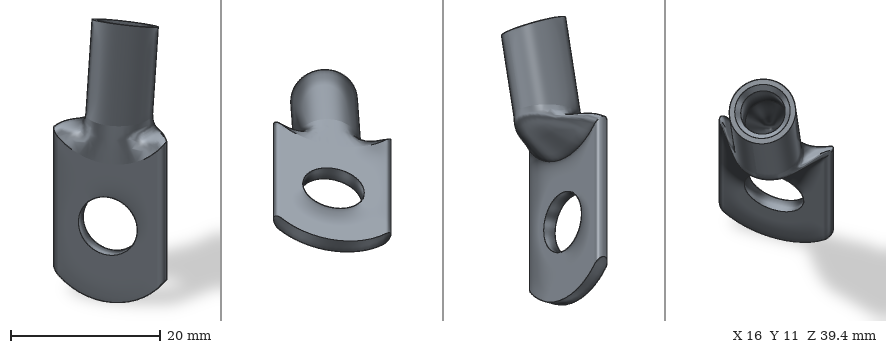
import cadquery as cq
import math

palm_width = 16.0
palm_thickness = 1.93
end_radius = 10.0
palm_top = 20.0
hole_diameter = 8.4
hole_height = 11.0

total_height = 39.35
total_depth = 11.0
barrel_diameter = 8.97
barrel_base = 25.58
mouth_tilt = 20.0

bore_diameter = 6.0
mouth_bore_diameter = 7.48
lead_in_depth = 0.6
bore_depth = 5.5
bore_tip_depth = 3.55

shoulder_drop = 2.5
palm_rise = 2.3
palm_spread = 0.65
level_count = 10
half_outline_steps = 40

sewing_tolerance = 0.001
joining_tolerance = 0.01

half_width = palm_width / 2
edge_radius = palm_thickness / 2
barrel_radius = barrel_diameter / 2
upper_arc_height = palm_top + end_radius

tilt = math.radians(mouth_tilt)
mouth_axis = cq.Vector(0, math.sin(tilt), math.cos(tilt))
mouth_centre = cq.Vector(
    0,
    total_depth - barrel_radius * math.cos(tilt),
    total_height - barrel_radius * math.sin(tilt),
)


def through_palm(diameter, height):
    """Cylinder across the palm's thickness, on its centre line."""
    front = cq.Workplane("XZ", origin=(0, palm_thickness, height))
    return front.circle(diameter / 2).extrude(palm_thickness)


def make_palm():
    bar = (
        cq.Workplane("XY", origin=(0, edge_radius, 0))
        .slot2D(palm_width, palm_thickness)
        .extrude(upper_arc_height)
    )
    above_lower_end = bar.cut(
        cq.Workplane("XY").box(palm_width, 2 * palm_thickness, 2 * end_radius)
    )
    lower_end = bar.intersect(through_palm(2 * end_radius, end_radius))
    return (
        above_lower_end.union(lower_end)
        .cut(through_palm(2 * end_radius, upper_arc_height))
        .cut(through_palm(hole_diameter, hole_height))
    )


def palm_end_point(angle):
    """Point on the rim of the palm's concave upper end."""
    x = half_width * math.cos(angle)
    into_round = max(0.0, abs(x) - (half_width - edge_radius))
    half_thickness = math.sqrt(max(0.0, edge_radius**2 - into_round**2))
    y = edge_radius + math.copysign(half_thickness, math.sin(angle))
    z = upper_arc_height - math.sqrt(end_radius**2 - x**2)
    return cq.Vector(x, y, z)


def barrel_base_point(angle):
    return cq.Vector(
        barrel_radius * math.cos(angle),
        barrel_radius * (1 + math.sin(angle)),
        barrel_base,
    )


def transition_point(angle, level):
    """Cubic Bezier from the palm's upper end (level 0) to the barrel base (level 1)."""
    start = palm_end_point(angle)
    end = barrel_base_point(angle)
    across = cq.Vector(0, end.y - start.y, 0)
    square_to_end = cq.Vector(-start.x, 0, upper_arc_height - start.z).normalized()
    first_pull = start + across * palm_spread + square_to_end * palm_rise
    second_pull = end - cq.Vector(0, 0, shoulder_drop)
    rest = 1 - level
    return (
        start * rest**3
        + first_pull * (3 * rest**2 * level)
        + second_pull * (3 * rest * level**2)
        + end * level**3
    )


def half_outline(level, first_angle, last_angle):
    turn = last_angle - first_angle
    fractions = [i / half_outline_steps for i in range(half_outline_steps + 1)]
    points = [transition_point(first_angle + turn * fraction, level) for fraction in fractions]
    return cq.Edge.makeSpline(points, parameters=fractions)


def make_transition():
    levels = [i / level_count for i in range(level_count + 1)]
    outlines = [
        cq.Wire.assembleEdges(
            [half_outline(level, 0, math.pi), half_outline(level, math.pi, 2 * math.pi)]
        )
        for level in levels
    ]
    side = cq.occ_impl.shapes.loft(*outlines)
    lower_face = cq.Face.makeRuledSurface(
        half_outline(0, math.pi, 0), half_outline(0, math.pi, 2 * math.pi)
    )
    upper_face = cq.Face.makeFromWires(outlines[-1])
    shell = cq.occ_impl.shapes.shell(*side.Faces(), lower_face, upper_face, tol=sewing_tolerance)
    return cq.occ_impl.shapes.solid(shell)


def make_barrel():
    base_centre = cq.Vector(0, barrel_radius, barrel_base)
    base = cq.Wire.makeCircle(barrel_radius, base_centre, cq.Vector(0, 0, 1))
    mouth = cq.Wire.makeCircle(barrel_radius, mouth_centre, mouth_axis)
    return cq.Solid.makeLoft([base, mouth], True)


def make_bore():
    inward = -mouth_axis
    radius = bore_diameter / 2
    cylinder_start = mouth_centre + inward * lead_in_depth
    tip_start = cylinder_start + inward * bore_depth
    lead_in = cq.Solid.makeCone(
        mouth_bore_diameter / 2, radius, lead_in_depth, mouth_centre, inward
    )
    cylinder = cq.Solid.makeCylinder(radius, bore_depth, cylinder_start, inward)
    tip = cq.Solid.makeCone(radius, 0, bore_tip_depth, tip_start, inward)
    return lead_in.fuse(cylinder, tip)


result = (
    make_palm()
    .union(cq.Workplane(make_transition()), tol=joining_tolerance)
    .union(cq.Workplane(make_barrel()), tol=joining_tolerance)
    .cut(cq.Workplane(make_bore()))
)